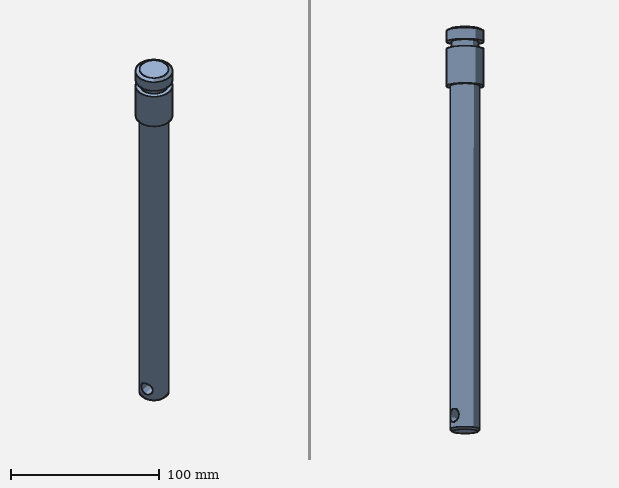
import cadquery as cq

total_length = 275.0

head_diameter = 25.0
head_length = 39.0
head_chamfer_width = 2.8
head_chamfer_height = 1.5
groove_diameter = 18.5
groove_depth_from_top = 8.8
groove_width = 5.0

shank_diameter = 20.0
shank_length = total_length - head_length
tip_chamfer = 1.5
cross_hole_diameter = 9.0
cross_hole_height = 10.0


def make_head():
    """Cylindrical head with a bevelled top rim and a ring groove."""
    radius = head_diameter / 2
    groove_radius = groove_diameter / 2
    groove_top = total_length - groove_depth_from_top
    groove_bottom = groove_top - groove_width
    return (
        cq.Workplane("XZ")
        .moveTo(0, shank_length)
        .lineTo(radius, shank_length)
        .lineTo(radius, groove_bottom)
        .lineTo(groove_radius, groove_bottom)
        .lineTo(groove_radius, groove_top)
        .lineTo(radius, groove_top)
        .lineTo(radius, total_length - head_chamfer_height)
        .lineTo(radius - head_chamfer_width, total_length)
        .lineTo(0, total_length)
        .close()
        .revolve(360, (0, 0, 0), (0, 1, 0))
    )


def make_shank():
    """Round shank with a chamfered tip and a cross hole along Y."""
    shank = cq.Workplane("XY").circle(shank_diameter / 2).extrude(shank_length)
    shank = shank.faces("<Z").chamfer(tip_chamfer)
    cross_hole = (
        cq.Workplane("XZ")
        .center(0, cross_hole_height)
        .circle(cross_hole_diameter / 2)
        .extrude(shank_diameter, both=True)
    )
    return shank.cut(cross_hole)


head = make_head()
shank = make_shank()

result = cq.Compound.makeCompound([head.val(), shank.val()])